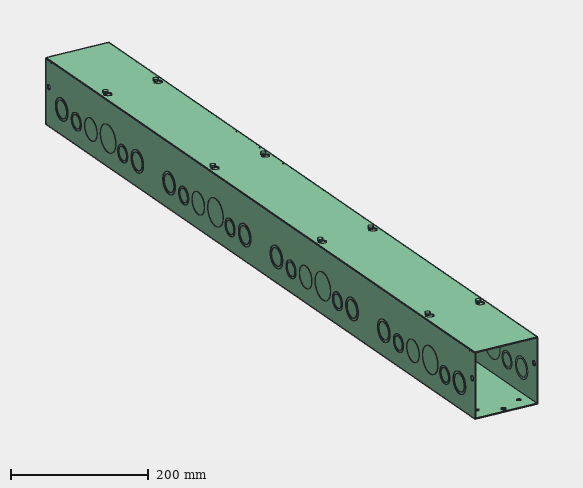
import cadquery as cq
import math

LENGTH = 1219.0
WIDTH = 106.0
TOTAL_HEIGHT = 110.0
SHEET = 1.8
HEAD_HEIGHT = 3.0

BODY_HEIGHT = TOTAL_HEIGHT - HEAD_HEIGHT - SHEET
FLANGE_WIDTH = 18.0
FLANGE_END_GAP = 16.0
BEND_RADIUS = 2.0
FLANGE_LENGTH = LENGTH - 2 * FLANGE_END_GAP

COVER_END_GAP = 1.0
KEYHOLE_DIAMETER = 12.0
KEYHOLE_OFFSET = 6.0

HEAD_DIAMETER = 7.9
SHANK_DIAMETER = 4.6
TIP_DIAMETER = 4.1
SHANK_LENGTH = 6.7
TIP_LENGTH = 1.8
SCREW_EDGE_DISTANCE = 10.4

GROUP_COUNT = 4
GROUP_PITCH = LENGTH / GROUP_COUNT
GROUP_CENTRES = [(i - (GROUP_COUNT - 1) / 2) * GROUP_PITCH for i in range(GROUP_COUNT)]
SCREW_ROWS = [side * (WIDTH / 2 - SCREW_EDGE_DISTANCE) for side in (-1, 1)]
SCREW_POINTS = [(x, y) for x in GROUP_CENTRES for y in SCREW_ROWS]

KNOCKOUT_BASE = 23.0
KNOCKOUT_DEPTH = 0.6
LARGE_DOUBLE = (35.0, 28.0)
SMALL_DOUBLE = (28.0, 22.0)
LARGE_DOUBLE_OFFSET = 107.0
SMALL_DOUBLE_OFFSET = 66.0
MEDIUM_DIAMETER = 35.0
MEDIUM_OFFSET = -24.0
BIG_DIAMETER = 44.0
BIG_OFFSET = 24.0

END_HOLE_DIAMETER = 7.9
END_HOLE_INSET = 9.0
END_HOLE_X = LENGTH / 2 - END_HOLE_INSET
END_HOLE_HEIGHT = 62.0
MOUNT_HOLE_DIAMETER = 6.3
MOUNT_HOLE_INSET = 24.0
MOUNT_HOLE_X = LENGTH / 2 - MOUNT_HOLE_INSET
MOUNT_HOLE_Y = 35.0


def wall_cylinder(diameter, x, z, y_start, depth):
    """Cylinder along +Y that starts at y_start."""
    return (
        cq.Workplane("XZ", origin=(x, y_start, z))
        .circle(diameter / 2)
        .extrude(-depth)
    )


def make_trough():
    """Open channel with square corners: the floor and the two full-height walls."""
    outside = cq.Workplane("XY").box(LENGTH, WIDTH, BODY_HEIGHT, centered=(True, True, False))
    inside = (
        cq.Workplane("XY", origin=(0, 0, SHEET))
        .box(LENGTH, WIDTH - 2 * SHEET, BODY_HEIGHT, centered=(True, True, False))
    )
    return outside.cut(inside)


def make_flange():
    """Top strip of the -Y wall with its bend and inward flange."""
    outer_y = -WIDTH / 2
    inner_radius = BEND_RADIUS - SHEET
    bend_y = outer_y + BEND_RADIUS
    bend_z = BODY_HEIGHT - BEND_RADIUS
    cos45 = math.cos(math.radians(45))
    return (
        cq.Workplane("YZ", origin=(-FLANGE_LENGTH / 2, 0, 0))
        .moveTo(outer_y, bend_z)
        .threePointArc(
            (bend_y - BEND_RADIUS * cos45, bend_z + BEND_RADIUS * cos45),
            (bend_y, BODY_HEIGHT),
        )
        .lineTo(outer_y + FLANGE_WIDTH, BODY_HEIGHT)
        .lineTo(outer_y + FLANGE_WIDTH, BODY_HEIGHT - SHEET)
        .lineTo(bend_y, BODY_HEIGHT - SHEET)
        .threePointArc(
            (bend_y - inner_radius * cos45, bend_z + inner_radius * cos45),
            (outer_y + SHEET, bend_z),
        )
        .close()
        .extrude(FLANGE_LENGTH)
    )


def make_knockout_cut(x, diameter, kept_diameter=0.0):
    """Shallow recess in the outer face of the -Y wall; a kept centre turns it into a ring."""
    z = KNOCKOUT_BASE + diameter / 2
    recess = wall_cylinder(diameter, x, z, -WIDTH / 2, KNOCKOUT_DEPTH)
    if kept_diameter:
        recess = recess.cut(wall_cylinder(kept_diameter, x, z, -WIDTH / 2, KNOCKOUT_DEPTH))
    return recess


def make_knockout_group(x):
    """Six knockouts of one group on the -Y wall."""
    cuts = [
        make_knockout_cut(x + MEDIUM_OFFSET, MEDIUM_DIAMETER),
        make_knockout_cut(x + BIG_OFFSET, BIG_DIAMETER),
    ]
    for side in (-1, 1):
        cuts.append(make_knockout_cut(x + side * LARGE_DOUBLE_OFFSET, *LARGE_DOUBLE))
        cuts.append(make_knockout_cut(x + side * SMALL_DOUBLE_OFFSET, *SMALL_DOUBLE))
    return cuts


def make_body():
    body = make_trough()
    body = body.cut(
        cq.Workplane("XY", origin=(0, 0, BODY_HEIGHT - BEND_RADIUS))
        .box(FLANGE_LENGTH, WIDTH, BEND_RADIUS, centered=(True, True, False))
    )
    flange = make_flange()
    body = body.union(flange).union(flange.mirror("XZ"))

    for x in GROUP_CENTRES:
        for cut in make_knockout_group(x):
            body = body.cut(cut).cut(cut.mirror("XZ"))

    for x in (-END_HOLE_X, END_HOLE_X):
        body = body.cut(wall_cylinder(END_HOLE_DIAMETER, x, END_HOLE_HEIGHT, -WIDTH / 2, WIDTH))

    floor_holes = (
        cq.Workplane("XY")
        .pushPoints([(-END_HOLE_X, 0), (END_HOLE_X, 0)])
        .circle(END_HOLE_DIAMETER / 2)
        .extrude(SHEET)
    )
    mount_holes = (
        cq.Workplane("XY")
        .rect(2 * MOUNT_HOLE_X, 2 * MOUNT_HOLE_Y, forConstruction=True)
        .vertices()
        .circle(MOUNT_HOLE_DIAMETER / 2)
        .extrude(SHEET)
    )
    screw_holes = (
        cq.Workplane("XY", origin=(0, 0, BODY_HEIGHT - SHEET))
        .pushPoints(SCREW_POINTS)
        .circle(SHANK_DIAMETER / 2)
        .extrude(SHEET)
    )
    return body.cut(floor_holes).cut(mount_holes).cut(screw_holes)


def make_cover():
    """Flat cover with a keyhole at each screw: a large hole and a slot that ends at the screw."""
    cover = (
        cq.Workplane("XY", origin=(0, 0, BODY_HEIGHT))
        .box(LENGTH - 2 * COVER_END_GAP, WIDTH, SHEET, centered=(True, True, False))
    )
    entries = (
        cq.Workplane("XY", origin=(KEYHOLE_OFFSET, 0, BODY_HEIGHT))
        .pushPoints(SCREW_POINTS)
        .circle(KEYHOLE_DIAMETER / 2)
        .extrude(SHEET)
    )
    slots = (
        cq.Workplane("XY", origin=(KEYHOLE_OFFSET / 2, 0, BODY_HEIGHT))
        .pushPoints(SCREW_POINTS)
        .slot2D(KEYHOLE_OFFSET + SHANK_DIAMETER, SHANK_DIAMETER)
        .extrude(SHEET)
    )
    return cover.cut(entries).cut(slots)


def make_screw(x, y):
    """Screw with a flat round head on the cover and a tapered tip below the flange."""
    head_base = BODY_HEIGHT + SHEET
    head = cq.Workplane("XY", origin=(x, y, head_base)).circle(HEAD_DIAMETER / 2).extrude(HEAD_HEIGHT)
    shank = cq.Workplane("XY", origin=(x, y, head_base)).circle(SHANK_DIAMETER / 2).extrude(-SHANK_LENGTH)
    tip = (
        cq.Workplane("XY", origin=(x, y, head_base - SHANK_LENGTH))
        .circle(SHANK_DIAMETER / 2)
        .workplane(offset=-TIP_LENGTH)
        .circle(TIP_DIAMETER / 2)
        .loft()
    )
    return head.union(shank).union(tip)


body = make_body()
cover = make_cover()
screws = [make_screw(x, y) for x, y in SCREW_POINTS]

result = cq.Compound.makeCompound([body.val(), cover.val(), *[screw.val() for screw in screws]])